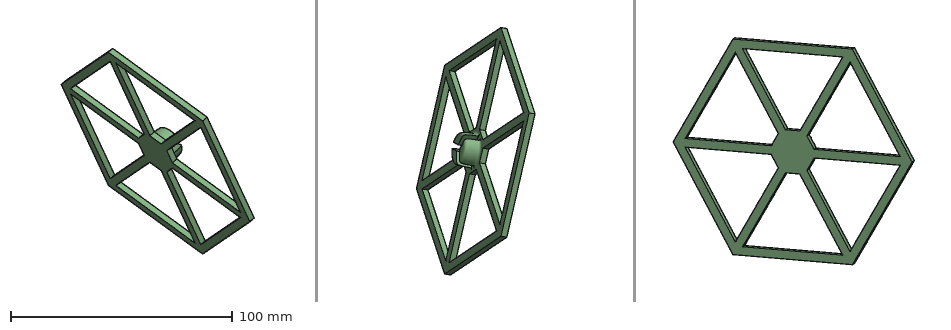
import cadquery as cq
import math

wheel_width = 115.5
plate_thickness = 3.0
bar_width = 4.0
hub_width = 23.1

total_depth = 10.4
boss_height = total_depth - plate_thickness
boss_radius = 7.9
boss_base_radius = 7.7
boss_top_radius = 7.3
boss_widest_height = 2.5
boss_tip_radius = 1.4
boss_root_radius = 0.9
slot_width = 2.9
slot_angles = (30, 150, 270)

wheel_plane = cq.Plane(origin=(0, 0, 0), xDir=(1, 0, 0), normal=(0, 1, 0))
boss_plane = cq.Plane(origin=(0, plate_thickness, 0), xDir=(1, 0, 0), normal=(0, 1, 0))


def hexagon_plate(width):
    return cq.Workplane(wheel_plane).polygon(6, width).extrude(plate_thickness)


def make_wheel():
    opening_width = wheel_width - 2 * bar_width / math.cos(math.radians(30))
    wheel = hexagon_plate(wheel_width).cut(hexagon_plate(opening_width))
    spoke_length = wheel_width - 2 * bar_width
    for angle in (0, 60, 120):
        spoke = (
            cq.Workplane(wheel_plane)
            .rect(spoke_length, bar_width)
            .extrude(plate_thickness)
            .rotate((0, 0, 0), (0, 1, 0), angle)
        )
        wheel = wheel.union(spoke)
    return wheel.union(hexagon_plate(hub_width))


def add_boss(wheel):
    boss = (
        cq.Workplane("XY")
        .moveTo(0, plate_thickness)
        .lineTo(boss_base_radius, plate_thickness)
        .threePointArc(
            (boss_radius, plate_thickness + boss_widest_height),
            (boss_top_radius, total_depth),
        )
        .lineTo(0, total_depth)
        .close()
        .revolve(360, (0, 0, 0), (0, 1, 0))
    )
    boss = boss.faces(">Y").edges().fillet(boss_tip_radius)
    body = wheel.union(boss)
    return body.edges("%CIRCLE").edges("<Y").fillet(boss_root_radius)


def cut_slots(body):
    slot_length = boss_radius + boss_root_radius
    for angle in slot_angles:
        slot = (
            cq.Workplane(boss_plane)
            .center(slot_length / 2, 0)
            .rect(slot_length, slot_width)
            .extrude(boss_height)
            .rotate((0, 0, 0), (0, 1, 0), -angle)
        )
        body = body.cut(slot)
    return body


result = cut_slots(add_boss(make_wheel()))